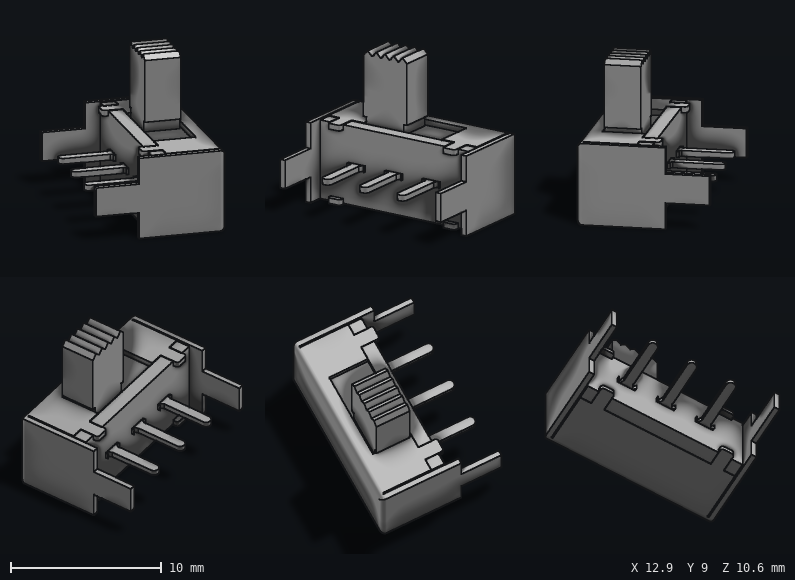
import cadquery as cq


cover_width = 12.9
cover_height = 5.6
sheet = 0.4
bend_radius = 0.4
side_depth = 6.0
lug_depth = 9.0
lug_height = 2.0
top_plate_depth = 4.0

tab_depth = 5.4
tab_width = 1.0
tab_offset = 4.6
tab_corner_radius = 0.2

side_gap = 0.1
body_recess = 0.05
body_depth = 5.0
body_width = cover_width - 2 * (sheet + side_gap)

window_width = 6.25
window_back_depth = 1.1

slider_x = -1.6
stem_width = 3.0
stem_height = 0.35
knob_top = 10.6
knob_back_depth = 1.25
knob_thickness = 2.5
tooth_count = 5
tooth_pitch = 0.7
tooth_height = 0.35
knob_width = tooth_count * tooth_pitch

pin_pitch = 3.0
pin_width = 0.7
pin_thickness = 0.4
pin_depth = 8.8
flare_width = 1.0
flare_length = 0.3
barb_width = 1.35
barb_length = 0.2

mid_height = cover_height / 2


def block(x_center, width, depths, heights):
    """Box spanning a pair of depths and a pair of Z heights."""
    near, far = depths
    low, high = heights
    return (
        cq.Workplane("XY")
        .box(width, far - near, high - low, centered=(True, False, False))
        .translate((x_center, -far, low))
    )


def make_back_and_sides():
    shell = block(0, cover_width, (0, side_depth), (0, cover_height))
    shell = shell.faces(">Y").edges().fillet(bend_radius)
    inner_width = cover_width - 2 * sheet
    return shell.cut(block(0, inner_width, (sheet, side_depth), (0, cover_height)))


def make_lug(side):
    lug_x = side * (cover_width - sheet) / 2
    heights = (mid_height - lug_height / 2, mid_height + lug_height / 2)
    return block(lug_x, sheet, (side_depth - sheet, lug_depth), heights)


def make_plate(low):
    """Top or bottom cover plate with its two rounded tabs."""
    heights = (low, low + sheet)
    plate = block(0, body_width, (sheet, top_plate_depth), heights)
    for side in (-1, 1):
        tab = block(side * tab_offset, tab_width, (top_plate_depth - sheet, tab_depth), heights)
        tab = tab.faces("<Y").edges("|Z").fillet(tab_corner_radius)
        plate = plate.union(tab)
    return plate


def make_body():
    return block(0, body_width, (sheet, body_depth), (body_recess, cover_height - body_recess))


def make_window():
    return block(
        0,
        window_width,
        (window_back_depth, top_plate_depth),
        (cover_height - sheet, cover_height),
    )


def make_slider():
    """Narrow stem and wider knob with a sawtooth grip, extruded along Y."""
    stem_base = cover_height - sheet
    knob_base = cover_height + stem_height
    valley = knob_top - tooth_height
    left = slider_x - knob_width / 2
    right = slider_x + knob_width / 2
    stem_left = slider_x - stem_width / 2
    stem_right = slider_x + stem_width / 2

    outline = [
        (right, valley),
        (right, knob_base),
        (stem_right, knob_base),
        (stem_right, stem_base),
        (stem_left, stem_base),
        (stem_left, knob_base),
        (left, knob_base),
        (left, valley),
    ]
    for tooth in range(tooth_count):
        tooth_left = left + tooth * tooth_pitch
        outline.append((tooth_left + tooth_pitch / 2, knob_top))
        if tooth < tooth_count - 1:
            outline.append((tooth_left + tooth_pitch, valley))

    return (
        cq.Workplane("XZ", origin=(0, -knob_back_depth, 0))
        .polyline(outline)
        .close()
        .extrude(knob_thickness)
    )


def make_pin(x):
    """Flat pin with a semicircular tip, a flared root and a barb on each side of it."""
    half_pin = pin_width / 2
    half_flare = flare_width / 2
    half_barb = barb_width / 2
    buried_end = -(body_depth - sheet)
    face = -body_depth
    tip_start = -(pin_depth - half_pin)

    return (
        cq.Workplane("XY", origin=(x, 0, mid_height))
        .moveTo(half_barb, buried_end)
        .lineTo(half_barb, face - barb_length)
        .lineTo(half_flare, face)
        .lineTo(half_pin, face - flare_length)
        .lineTo(half_pin, tip_start)
        .threePointArc((0, -pin_depth), (-half_pin, tip_start))
        .lineTo(-half_pin, face - flare_length)
        .lineTo(-half_flare, face)
        .lineTo(-half_barb, face - barb_length)
        .lineTo(-half_barb, buried_end)
        .close()
        .extrude(pin_thickness / 2, both=True)
    )


result = make_back_and_sides().union(make_body())
for plate_low in (0, cover_height - sheet):
    result = result.union(make_plate(plate_low))
for lug_side in (-1, 1):
    result = result.union(make_lug(lug_side))
result = result.cut(make_window()).union(make_slider())
for pin_index in (-1, 0, 1):
    result = result.union(make_pin(pin_index * pin_pitch))